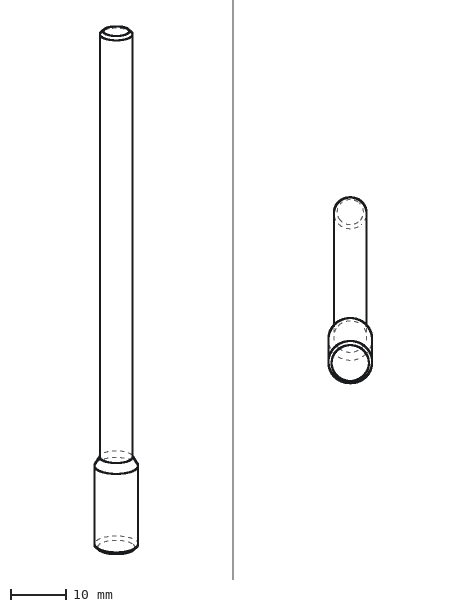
import cadquery as cq

total_length = 101.0
shank_diameter = 6.0
head_diameter = 8.0

shoulder_bottom = 16.0
head_length = 17.7

end_chamfer = 0.6

shank_radius = shank_diameter / 2
head_radius = head_diameter / 2


def make_head():
    """Cylindrical head with a bevelled bottom and a shoulder tapering to the shank."""
    profile = (
        cq.Workplane("XZ")
        .lineTo(head_radius - end_chamfer, 0)
        .lineTo(head_radius, end_chamfer)
        .lineTo(head_radius, shoulder_bottom)
        .lineTo(shank_radius, head_length)
        .lineTo(0, head_length)
        .close()
    )
    return profile.revolve(360, (0, 0, 0), (0, 1, 0))


def make_shank():
    """Round shank standing on the head, with a bevelled top end."""
    return (
        cq.Workplane("XY")
        .workplane(offset=head_length)
        .circle(shank_radius)
        .extrude(total_length - head_length)
        .faces(">Z")
        .chamfer(end_chamfer)
    )


head = make_head()
shank = make_shank()

result = cq.Compound.makeCompound([head.val(), shank.val()])